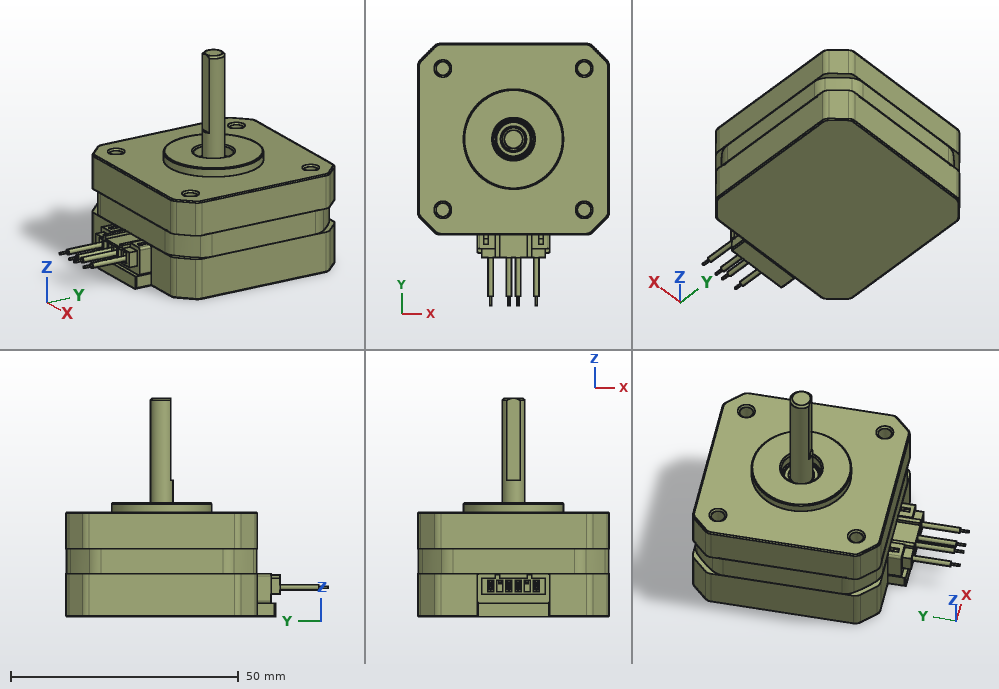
import cadquery as cq

BODY_WIDTH = 42.0
HALF_WIDTH = BODY_WIDTH / 2
LOWER_COVER_TOP = 9.5
STATOR_TOP = 15.0
BODY_TOP = 23.0
COVER_CORNER_CUT = 4.2
COVER_CORNER_RADIUS = 2.0
COVER_EDGE_CHAMFER = 0.3
STATOR_INSET = 0.1
STATOR_CORNER_DIAMETER = 51.1
STATOR_CORNER_BLEND = 4.0

HOLE_SPACING = 31.0
HOLE_DIAMETER = 3.0
HOLE_MOUTH_CHAMFER = 0.4
HOLE_DEPTH = 4.5

BOSS_RADIUS = 11.0
BOSS_HEIGHT = 2.0
BOSS_TOP = BODY_TOP + BOSS_HEIGHT
BOSS_EDGE_CHAMFER = 0.25
BORE_RADIUS = 4.4
BORE_MOUTH_CHAMFER = 0.35
BORE_WALL_BOTTOM = 22.5
GROOVE_BOTTOM = 22.3
BEARING_TOP = 22.5
GROOVE_RADIUS = 4.05
BEARING_RIM_RADIUS = 3.73
BEARING_INNER_CHAMFER = 0.36

SHAFT_RADIUS = 2.5
SHAFT_TOP = 48.0
SHAFT_TIP_CHAMFER = 0.5
FLAT_BOTTOM = 30.0
FLAT_OFFSET = 2.0

BODY_FRONT = -HALF_WIDTH
CONNECTOR_WIDTH = 16.0
LEDGE_TOP = 3.0
LEDGE_REACH = 4.0
HOUSING_REACH = 3.0
HOUSING_CORNER_RADIUS = 0.5
LATCH_SLOT_OFFSET = 6.0
LATCH_SLOT_WIDTH = 1.0
LATCH_SLOT_REACH = 2.0
LATCH_SLOT_DEPTH = 0.4
LATCH_WELL_REACH = 0.8
LATCH_WELL_DEPTH = 1.0

PLUG_WIDTH = 14.0
PLUG_BOTTOM = 5.0
PLUG_TOP = 8.5
PLUG_REACH = 5.0
PLUG_INSERTION = 2.0
PLUG_BACK = BODY_FRONT + PLUG_INSERTION
PLUG_FRONT = BODY_FRONT - PLUG_REACH
PLUG_LENGTH = PLUG_BACK - PLUG_FRONT
RIDGE_INNER = 3.0
RIDGE_WIDTH = 1.0
RIDGE_OUTER = RIDGE_INNER + RIDGE_WIDTH
RIDGE_TOP = 9.2

PIN_PITCH = 2.0
PIN_COUNT = 6
POCKET_WIDTH = 1.3
POCKET_BOTTOM = 5.55
POCKET_TOP = 8.0
POCKET_DEPTH = 3.0
POCKET_BACK = PLUG_FRONT + POCKET_DEPTH
LANCE_WIDTH = 0.55
LANCE_FRONT_DROP = 0.35
LANCE_BACK_DROP = 0.7
LANCE_FRONT_SETBACK = 0.5
LANCE_BACK_SETBACK = 1.5
TERMINAL_WIDTH = 0.95
TERMINAL_TOP = 7.85
TERMINAL_SETBACK = 2.0
WIRED_PINS = (0, 2, 3, 5)
WIRE_Z = 6.5
WIRE_RADIUS = 0.6
WIRE_LENGTH = 8.5
CORE_RADIUS = 0.25
CORE_LENGTH = 2.0


def block(x_center, width, y_back, reach, z_bottom, z_top):
    """Box centred on x_center that extends from y_back toward -Y."""
    box = cq.Workplane("XY").box(width, reach, z_top - z_bottom, centered=(True, False, False))
    return box.translate((x_center, y_back - reach, z_bottom))


def make_cover(z_bottom, z_top, chamfered_face):
    """Square end cover with cut, rounded corners and one chamfered rim."""
    cover = cq.Workplane("XY").workplane(offset=z_bottom).rect(BODY_WIDTH, BODY_WIDTH)
    cover = cover.extrude(z_top - z_bottom)
    cover = cover.edges("|Z").chamfer(COVER_CORNER_CUT)
    cover = cover.edges("|Z").fillet(COVER_CORNER_RADIUS)
    return cover.faces(chamfered_face).edges().chamfer(COVER_EDGE_CHAMFER)


def make_stator():
    """Slightly inset square whose corners are turned to a large round."""
    width = BODY_WIDTH - 2 * STATOR_INSET
    height = STATOR_TOP - LOWER_COVER_TOP
    base = cq.Workplane("XY").workplane(offset=LOWER_COVER_TOP)
    square = base.rect(width, width).extrude(height)
    corner_round = base.circle(STATOR_CORNER_DIAMETER / 2).extrude(height)
    return square.intersect(corner_round).edges("|Z").fillet(STATOR_CORNER_BLEND)


def make_mounting_holes():
    """Blind holes with chamfered mouths, as a cutter."""
    radius = HOLE_DIAMETER / 2
    mouth_radius = radius + HOLE_MOUTH_CHAMFER
    hole = (
        cq.Workplane("XZ")
        .moveTo(0, BODY_TOP)
        .lineTo(mouth_radius, BODY_TOP)
        .lineTo(radius, BODY_TOP - HOLE_MOUTH_CHAMFER)
        .lineTo(radius, BODY_TOP - HOLE_DEPTH)
        .lineTo(0, BODY_TOP - HOLE_DEPTH)
        .close()
        .revolve(360, (0, 0, 0), (0, 1, 0))
    )
    corners = cq.Workplane("XY").rect(HOLE_SPACING, HOLE_SPACING, forConstruction=True).vertices()
    return corners.eachpoint(hole.val(), combine="a")


def make_boss():
    boss = cq.Workplane("XY").workplane(offset=BODY_TOP).circle(BOSS_RADIUS).extrude(BOSS_HEIGHT)
    return boss.faces(">Z").edges().chamfer(BOSS_EDGE_CHAMFER)


def make_bearing_bore():
    """Cutter for the boss bore, leaving a grooved bearing face at its bottom."""
    bearing_bore_radius = SHAFT_RADIUS + BEARING_INNER_CHAMFER
    return (
        cq.Workplane("XZ")
        .moveTo(0, BOSS_TOP)
        .lineTo(BORE_RADIUS + BORE_MOUTH_CHAMFER, BOSS_TOP)
        .lineTo(BORE_RADIUS, BOSS_TOP - BORE_MOUTH_CHAMFER)
        .lineTo(BORE_RADIUS, BORE_WALL_BOTTOM)
        .lineTo(GROOVE_RADIUS, GROOVE_BOTTOM)
        .lineTo(BEARING_RIM_RADIUS, BEARING_TOP)
        .lineTo(bearing_bore_radius, BEARING_TOP)
        .lineTo(SHAFT_RADIUS, BEARING_TOP - BEARING_INNER_CHAMFER)
        .lineTo(0, BEARING_TOP - BEARING_INNER_CHAMFER)
        .close()
        .revolve(360, (0, 0, 0), (0, 1, 0))
    )


def make_shaft():
    """D-cut shaft, rooted in the stator."""
    shaft = cq.Workplane("XY").workplane(offset=STATOR_TOP).circle(SHAFT_RADIUS)
    shaft = shaft.extrude(SHAFT_TOP - STATOR_TOP).faces(">Z").chamfer(SHAFT_TIP_CHAMFER)
    flat_cut = block(0, 2 * SHAFT_RADIUS, -FLAT_OFFSET, SHAFT_RADIUS, FLAT_BOTTOM, SHAFT_TOP)
    return shaft.cut(flat_cut)


def make_ledge():
    ledge = block(0, CONNECTOR_WIDTH, BODY_FRONT, LEDGE_REACH, 0, LEDGE_TOP)
    front_corners = ledge.faces("<Y").edges("|Z")
    bottom_sides = ledge.faces("<Z").edges("|Y")
    return ledge.newObject(front_corners.vals() + bottom_sides.vals()).chamfer(COVER_EDGE_CHAMFER)


def make_housing():
    """Connector shell with a stepped latch slot near each end."""
    housing = block(0, CONNECTOR_WIDTH, BODY_FRONT, HOUSING_REACH, LEDGE_TOP, LOWER_COVER_TOP)
    housing = housing.edges("|Y").fillet(HOUSING_CORNER_RADIUS)
    slot_bottom = LOWER_COVER_TOP - LATCH_SLOT_DEPTH
    well_bottom = LOWER_COVER_TOP - LATCH_WELL_DEPTH
    for x in (-LATCH_SLOT_OFFSET, LATCH_SLOT_OFFSET):
        slot = block(x, LATCH_SLOT_WIDTH, BODY_FRONT, LATCH_SLOT_REACH, slot_bottom, LOWER_COVER_TOP)
        well = block(x, LATCH_SLOT_WIDTH, BODY_FRONT, LATCH_WELL_REACH, well_bottom, LOWER_COVER_TOP)
        housing = housing.cut(slot).cut(well)
    return housing


def pin_x(pin):
    return (pin - (PIN_COUNT - 1) / 2) * PIN_PITCH


def make_pocket(x):
    """Cutter for one terminal pocket, with a stepped lance left under its ceiling."""
    pocket = block(x, POCKET_WIDTH, POCKET_BACK, POCKET_DEPTH, POCKET_BOTTOM, POCKET_TOP)
    for setback, drop in (
        (LANCE_FRONT_SETBACK, LANCE_FRONT_DROP),
        (LANCE_BACK_SETBACK, LANCE_BACK_DROP),
    ):
        lance_length = POCKET_DEPTH - setback
        lance = block(x, LANCE_WIDTH, POCKET_BACK, lance_length, POCKET_TOP - drop, POCKET_TOP)
        pocket = pocket.cut(lance)
    return pocket


def make_plug_opening():
    """Cutter that opens the housing and cover above the middle of the plug."""
    reach = HOUSING_REACH + PLUG_INSERTION
    return block(0, 2 * RIDGE_OUTER, PLUG_BACK, reach, PLUG_TOP, LOWER_COVER_TOP)


def make_plug():
    plug = block(0, PLUG_WIDTH, PLUG_BACK, PLUG_LENGTH, PLUG_BOTTOM, PLUG_TOP)
    ridge_center = RIDGE_INNER + RIDGE_WIDTH / 2
    for x in (-ridge_center, ridge_center):
        plug = plug.union(block(x, RIDGE_WIDTH, PLUG_BACK, PLUG_LENGTH, PLUG_TOP, RIDGE_TOP))
    return plug


def make_wire(x):
    """Terminal and insulated wire from the back of a pocket, ending in a bare core."""
    start = cq.Workplane("XZ", origin=(x, POCKET_BACK, WIRE_Z))
    sleeve_length = POCKET_DEPTH + WIRE_LENGTH
    sleeve = start.circle(WIRE_RADIUS).extrude(sleeve_length)
    core = start.circle(CORE_RADIUS).extrude(sleeve_length + CORE_LENGTH)
    terminal_length = POCKET_DEPTH - TERMINAL_SETBACK
    terminal = block(x, TERMINAL_WIDTH, POCKET_BACK, terminal_length, WIRE_Z, TERMINAL_TOP)
    return sleeve.union(core).union(terminal)


lower_cover = make_cover(0, LOWER_COVER_TOP, "<Z")
upper_cover = make_cover(STATOR_TOP, BODY_TOP, ">Z")

result = lower_cover.union(make_ledge()).union(make_housing())
result = result.cut(make_plug_opening()).union(make_plug())
for pin in range(PIN_COUNT):
    result = result.cut(make_pocket(pin_x(pin)))
for pin in WIRED_PINS:
    result = result.union(make_wire(pin_x(pin)))

result = result.union(make_stator()).union(upper_cover).union(make_boss())
result = result.cut(make_mounting_holes()).cut(make_bearing_bore())
result = result.union(make_shaft())